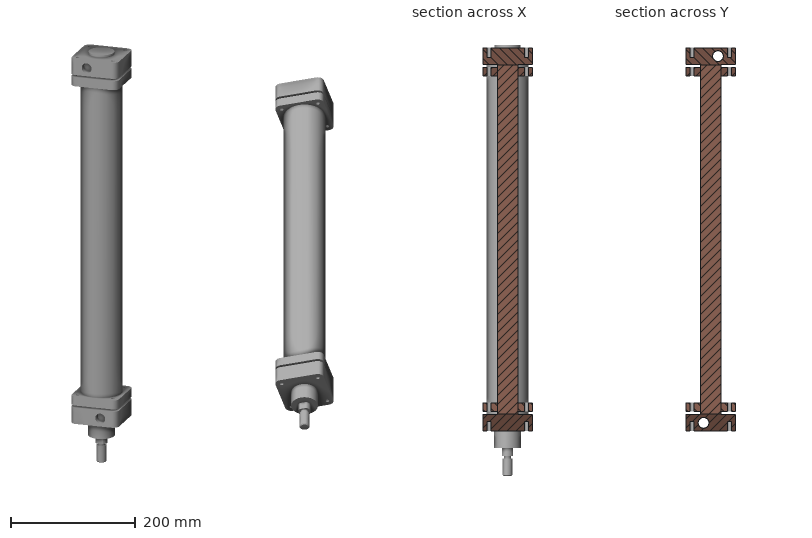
import cadquery as cq

overall_length = 691.0
boss_height = 4.0
cap_height = 27.0
gap_height = 4.0
flange_height = 15.0
thread_length = 28.0
undercut_length = 4.0
collar_length = 12.5
neck_length = 27.5

square_side = 80.0
corner_radius = 10.0
bolt_offset = 30.0
bolt_hole_diameter = 6.0
bolt_hole_depth = 15.0

barrel_diameter = 68.0
boss_diameter = 42.0
neck_diameter = 43.0
collar_diameter = 20.0
collar_flats = 17.0
undercut_diameter = 12.0
thread_diameter = 16.0
thread_chamfer = 1.5

port_diameter = 16.6
port_depth = 12.0
port_offset = 11.5

undercut_bottom = thread_length
collar_bottom = undercut_bottom + undercut_length
neck_bottom = collar_bottom + collar_length
front_cap_bottom = neck_bottom + neck_length
barrel_bottom = front_cap_bottom + cap_height
front_flange_bottom = barrel_bottom + gap_height
rear_cap_top = overall_length - boss_height
barrel_top = rear_cap_top - cap_height
rear_flange_bottom = barrel_top - gap_height - flange_height


def disc(diameter, bottom, height):
    """Upright cylinder on the Z axis."""
    return cq.Workplane("XY").workplane(offset=bottom).circle(diameter / 2).extrude(height)


def rounded_square(bottom, height):
    """Square block with rounded vertical edges."""
    block = cq.Workplane("XY").workplane(offset=bottom).rect(square_side, square_side).extrude(height)
    return block.edges("|Z").fillet(corner_radius)


def bolt_holes(start, depth):
    """Four corner drillings, from height start downwards (or upwards for a negative depth)."""
    return (
        cq.Workplane("XY")
        .workplane(offset=start)
        .rect(2 * bolt_offset, 2 * bolt_offset, forConstruction=True)
        .vertices()
        .circle(bolt_hole_diameter / 2)
        .extrude(-depth)
    )


def make_cap(bottom, port_x):
    """End cap with a blind air port in its -Y face, halfway up."""
    port = (
        cq.Workplane("XZ", origin=(port_x, -square_side / 2, bottom + cap_height / 2))
        .circle(port_diameter / 2)
        .extrude(-port_depth)
    )
    return rounded_square(bottom, cap_height).cut(port)


def make_flange(bottom):
    """Square flange around the barrel, with bolt holes right through."""
    block = rounded_square(bottom, flange_height)
    block = block.cut(disc(barrel_diameter, bottom, flange_height))
    return block.cut(bolt_holes(bottom + flange_height, flange_height))


def make_rod_end():
    """Collar with two wrench flats, undercut and chamfered thread."""
    flats = (
        cq.Workplane("XY")
        .workplane(offset=collar_bottom)
        .rect(collar_diameter, collar_flats)
        .extrude(collar_length)
    )
    collar = disc(collar_diameter, collar_bottom, collar_length).intersect(flats)
    undercut = disc(undercut_diameter, undercut_bottom, undercut_length)
    thread = disc(thread_diameter, 0, thread_length).faces("<Z").chamfer(thread_chamfer)
    return collar.union(undercut).union(thread)


def make_rear_cap():
    """Cap with a low round boss and blind bolt holes on its upper face."""
    cap = make_cap(barrel_top, -port_offset)
    cap = cap.union(disc(boss_diameter, rear_cap_top, boss_height))
    return cap.cut(bolt_holes(rear_cap_top, bolt_hole_depth))


def make_front_cap():
    """Cap with a long round neck and blind bolt holes on its lower face."""
    cap = make_cap(front_cap_bottom, port_offset)
    cap = cap.union(disc(neck_diameter, neck_bottom, neck_length))
    return cap.cut(bolt_holes(front_cap_bottom, -bolt_hole_depth))


barrel = disc(barrel_diameter, barrel_bottom, barrel_top - barrel_bottom)
rear_cap = make_rear_cap()
front_cap = make_front_cap()
flanges = [make_flange(bottom) for bottom in (front_flange_bottom, rear_flange_bottom)]
rod_end = make_rod_end()

result = cq.Compound.makeCompound(
    [
        barrel.val(),
        rear_cap.val(),
        front_cap.val(),
        *[flange.val() for flange in flanges],
        rod_end.val(),
    ]
)